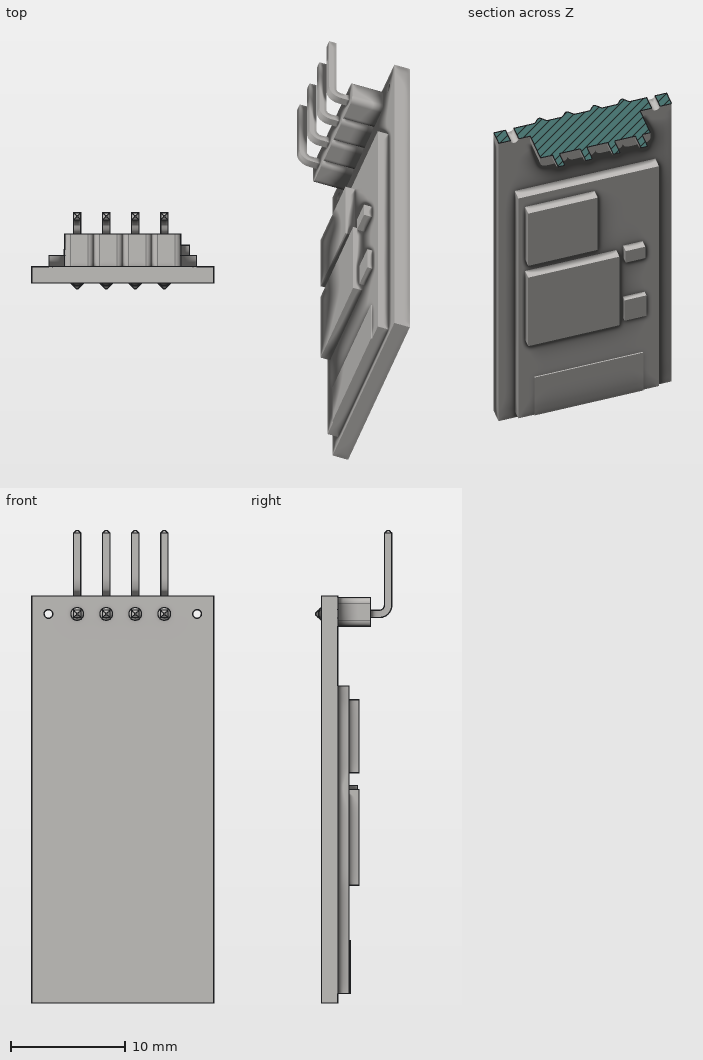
import cadquery as cq


BOARD_WIDTH = 15.95
BOARD_HEIGHT = 35.64
BOARD_THICKNESS = 1.44
CENTER_X = BOARD_WIDTH / 2
HOLE_DIAMETER = 0.74
HOLE_EDGE_GAP = 1.47
HOLE_TOP_GAP = 1.58
HOLE_Z = BOARD_HEIGHT - HOLE_TOP_GAP

PIN_COUNT = 4
PITCH = 2.54
HOUSING_DEPTH = 2.87
HOUSING_RADIUS = 0.52
HOUSING_TOP_GAP = 0.13
HOUSING_CENTER_Z = BOARD_HEIGHT - HOUSING_TOP_GAP - PITCH / 2

PIN_SIZE = 0.66
PIN_OFFSET_X = -0.175
PIN_Z = HOLE_Z
PIN_FRONT_Y = -0.5
PIN_REACH = 6.68
PIN_BACK_Y = PIN_FRONT_Y + PIN_REACH
PIN_TOP_Z = 41.38
BEND_INNER_RADIUS = 0.45
PIN_TIP_CHAMFER = 0.25

SOLDER_BASE_DIAMETER = 1.12
SOLDER_TOP_DIAMETER = 0.68
SOLDER_HEIGHT = 0.22

PLATE_WIDTH = 12.95
PLATE_HEIGHT = 26.95
PLATE_THICKNESS = 1.0
PLATE_BOTTOM_Z = 0.82
PLATE_BACK_Y = BOARD_THICKNESS + PLATE_THICKNESS

BLOCK_RIGHT_X = 13.83
CHIP_THICKNESS = 0.88
UPPER_CHIP_SIZE = 6.4
UPPER_CHIP_BOTTOM_Z = 20.15
LOWER_CHIP_SIZE = 8.4
LOWER_CHIP_BOTTOM_Z = 10.3
SMALL_PART_LEFT_X = 3.0
SMALL_PART_WIDTH = 1.8
SMALL_PART_HEIGHT = 1.4
SMALL_PART_THICKNESS = 0.74
SMALL_PART_BOTTOM_Z = 17.65
SIDE_PART_LEFT_X = 2.82
SIDE_PART_WIDTH = 2.0
SIDE_PART_HEIGHT = 2.5
SIDE_PART_THICKNESS = 0.5
SHEET_WIDTH = 10.0
SHEET_HEIGHT = 4.65
SHEET_THICKNESS = 0.1


def block(left, front, bottom, width, depth, height):
    """Box placed by its lowest X, Y and Z corner."""
    return cq.Workplane("XY").box(width, depth, height, centered=False).translate((left, front, bottom))


def make_board():
    board = block(0, 0, 0, BOARD_WIDTH, BOARD_THICKNESS, BOARD_HEIGHT)
    for x in (HOLE_EDGE_GAP, BOARD_WIDTH - HOLE_EDGE_GAP):
        hole = cq.Workplane("XZ", origin=(x, 0, HOLE_Z)).circle(HOLE_DIAMETER / 2).extrude(-BOARD_THICKNESS)
        board = board.cut(hole)
    return board


def make_housing(x):
    housing = block(
        x - PITCH / 2, BOARD_THICKNESS, HOUSING_CENTER_Z - PITCH / 2, PITCH, HOUSING_DEPTH, PITCH
    )
    return housing.edges("|Y").fillet(HOUSING_RADIUS)


def make_pin(x):
    """Square L-shaped pin: along Y through the board, then bent up along Z."""
    half = PIN_SIZE / 2
    pin = (
        cq.Workplane("YZ", origin=(x - half, 0, 0))
        .moveTo(PIN_FRONT_Y, PIN_Z - half)
        .lineTo(PIN_BACK_Y, PIN_Z - half)
        .lineTo(PIN_BACK_Y, PIN_TOP_Z)
        .lineTo(PIN_BACK_Y - PIN_SIZE, PIN_TOP_Z)
        .lineTo(PIN_BACK_Y - PIN_SIZE, PIN_Z + half)
        .lineTo(PIN_FRONT_Y, PIN_Z + half)
        .close()
        .extrude(PIN_SIZE)
    )
    outer_corner = cq.selectors.NearestToPointSelector((x, PIN_BACK_Y, PIN_Z - half))
    pin = pin.edges(outer_corner).fillet(BEND_INNER_RADIUS + PIN_SIZE)
    inner_corner = cq.selectors.NearestToPointSelector((x, PIN_BACK_Y - PIN_SIZE, PIN_Z + half))
    pin = pin.edges(inner_corner).fillet(BEND_INNER_RADIUS)
    return pin.faces("<Y or >Z").chamfer(PIN_TIP_CHAMFER)


def make_solder(x):
    return (
        cq.Workplane("XZ", origin=(x, 0, PIN_Z))
        .circle(SOLDER_BASE_DIAMETER / 2)
        .workplane(offset=SOLDER_HEIGHT)
        .circle(SOLDER_TOP_DIAMETER / 2)
        .loft()
    )


def make_header():
    header = cq.Workplane("XY")
    for i in range(PIN_COUNT):
        x = CENTER_X + (i - (PIN_COUNT - 1) / 2) * PITCH
        pin_x = x + PIN_OFFSET_X
        header = header.union(make_housing(x)).union(make_pin(pin_x)).union(make_solder(pin_x))
    return header


def on_plate(left, bottom, width, thickness, height):
    """Block standing on the outer face of the module plate."""
    return block(left, PLATE_BACK_Y, bottom, width, thickness, height)


def make_module():
    plate_left = CENTER_X - PLATE_WIDTH / 2
    plate = block(
        plate_left, BOARD_THICKNESS, PLATE_BOTTOM_Z, PLATE_WIDTH, PLATE_THICKNESS, PLATE_HEIGHT
    )
    upper_chip = on_plate(
        BLOCK_RIGHT_X - UPPER_CHIP_SIZE, UPPER_CHIP_BOTTOM_Z, UPPER_CHIP_SIZE, CHIP_THICKNESS, UPPER_CHIP_SIZE
    )
    lower_chip = on_plate(
        BLOCK_RIGHT_X - LOWER_CHIP_SIZE, LOWER_CHIP_BOTTOM_Z, LOWER_CHIP_SIZE, CHIP_THICKNESS, LOWER_CHIP_SIZE
    )
    small_part = on_plate(
        SMALL_PART_LEFT_X, SMALL_PART_BOTTOM_Z, SMALL_PART_WIDTH, SMALL_PART_THICKNESS, SMALL_PART_HEIGHT
    )
    side_part = on_plate(
        SIDE_PART_LEFT_X, LOWER_CHIP_BOTTOM_Z, SIDE_PART_WIDTH, SIDE_PART_THICKNESS, SIDE_PART_HEIGHT
    )
    sheet = on_plate(CENTER_X - SHEET_WIDTH / 2, PLATE_BOTTOM_Z, SHEET_WIDTH, SHEET_THICKNESS, SHEET_HEIGHT)
    for part in (upper_chip, lower_chip, small_part, side_part, sheet):
        plate = plate.union(part)
    return plate


result = make_board().union(make_module()).union(make_header())